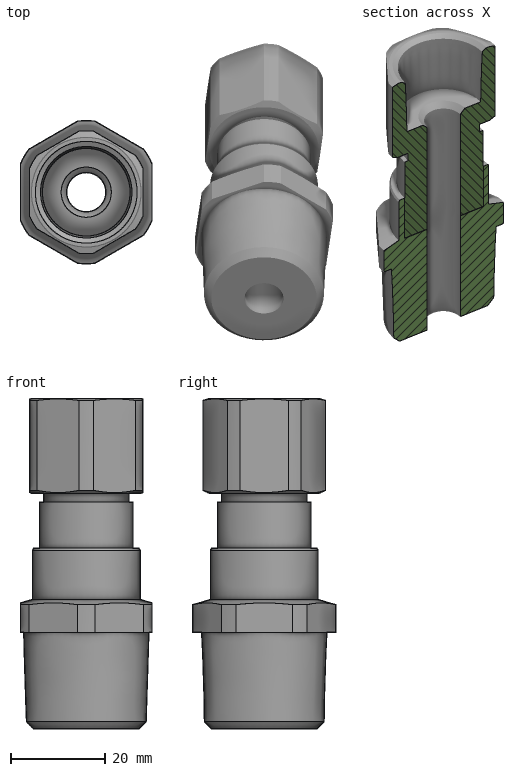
import cadquery as cq
import math

TAPER_TOP_Z = 20.5
COLLAR_BASE_Z = 27.55
COLLAR_TOP_Z = 38.4
SHANK_TOP_Z = 48.2
HEAD_BASE_Z = 50.1
TOTAL_HEIGHT = 70.25

THREAD_TAPER = 1 / 16
PIPE_TOP_DIAMETER = 26.7
PIPE_CHAMFER_HEIGHT = 1.55
BODY_HEX_FLATS = 28.0
BODY_HEX_CORNERS = 30.5
BODY_HEX_EDGE_Z = 26.4
COLLAR_DIAMETER = 23.0
COLLAR_CHAMFER_HEIGHT = 0.5
COLLAR_CHAMFER_WIDTH = 0.3
BORE_DIAMETER = 8.3

SHANK_DIAMETER = 19.95
SHANK_BOTTOM_Z = COLLAR_BASE_Z
NECK_DIAMETER = 18.2
HEAD_HEX_FLATS = 24.0
HEAD_HEX_CORNERS = 26.1
HEAD_FACE_DIAMETER = 23.3
HEAD_TOP_CHAMFER = 0.4
HEAD_BOTTOM_CHAMFER = 0.6
SOCKET_MOUTH_DIAMETER = 21.65
SOCKET_DIAMETER = 19.45
SOCKET_MOUTH_DEPTH = 0.7
SOCKET_DEPTH = 14.05
BORE_MOUTH_DIAMETER = 10.7


def revolve_profile(points):
    """Turn (radius, height) points about the Z axis; the profile closes along the axis."""
    first_z = points[0][1]
    last_z = points[-1][1]
    outline = [(0, first_z), *points, (0, last_z)]
    return cq.Workplane("XZ").polyline(outline).close().revolve(360, (0, 0), (0, 1))


def hexagon(flats, bottom_z, top_z):
    """Hexagonal prism with two flats facing -X and +X."""
    sharp_corners = flats / math.cos(math.pi / 6)
    prism = cq.Workplane("XY").polygon(6, sharp_corners).extrude(top_z - bottom_z)
    return prism.rotate((0, 0, 0), (0, 0, 1), 30).translate((0, 0, bottom_z))


def cylinder(diameter, bottom_z, top_z):
    return cq.Workplane("XY", origin=(0, 0, bottom_z)).circle(diameter / 2).extrude(top_z - bottom_z)


def make_body():
    pipe_top_radius = PIPE_TOP_DIAMETER / 2
    pipe_low_radius = pipe_top_radius - (TAPER_TOP_Z - PIPE_CHAMFER_HEIGHT) * THREAD_TAPER / 2
    pipe = revolve_profile([
        (pipe_low_radius - PIPE_CHAMFER_HEIGHT, 0),
        (pipe_low_radius, PIPE_CHAMFER_HEIGHT),
        (pipe_top_radius, TAPER_TOP_Z),
    ])

    hex_envelope = revolve_profile([
        (BODY_HEX_CORNERS / 2, TAPER_TOP_Z),
        (BODY_HEX_CORNERS / 2, BODY_HEX_EDGE_Z),
        (COLLAR_DIAMETER / 2, COLLAR_BASE_Z),
    ])
    hex_flange = hexagon(BODY_HEX_FLATS, TAPER_TOP_Z, COLLAR_BASE_Z).intersect(hex_envelope)

    collar = revolve_profile([
        (COLLAR_DIAMETER / 2, COLLAR_BASE_Z),
        (COLLAR_DIAMETER / 2, COLLAR_TOP_Z - COLLAR_CHAMFER_HEIGHT),
        (COLLAR_DIAMETER / 2 - COLLAR_CHAMFER_WIDTH, COLLAR_TOP_Z),
    ])

    bore = cylinder(BORE_DIAMETER, 0, SHANK_BOTTOM_Z)
    recess = cylinder(SHANK_DIAMETER, SHANK_BOTTOM_Z, COLLAR_TOP_Z)
    return pipe.union(hex_flange).union(collar).cut(bore).cut(recess)


def make_adapter():
    shank = cylinder(SHANK_DIAMETER, SHANK_BOTTOM_Z, SHANK_TOP_Z)
    neck = cylinder(NECK_DIAMETER, SHANK_TOP_Z, HEAD_BASE_Z)

    head_envelope = revolve_profile([
        (HEAD_FACE_DIAMETER / 2, HEAD_BASE_Z),
        (HEAD_HEX_CORNERS / 2, HEAD_BASE_Z + HEAD_BOTTOM_CHAMFER),
        (HEAD_HEX_CORNERS / 2, TOTAL_HEIGHT - HEAD_TOP_CHAMFER),
        (HEAD_FACE_DIAMETER / 2, TOTAL_HEIGHT),
    ])
    head = hexagon(HEAD_HEX_FLATS, HEAD_BASE_Z, TOTAL_HEIGHT).intersect(head_envelope)

    socket_floor_z = TOTAL_HEIGHT - SOCKET_DEPTH
    socket_narrowing = (SOCKET_DEPTH - SOCKET_MOUTH_DEPTH) * THREAD_TAPER / 2
    bore_mouth_depth = (BORE_MOUTH_DIAMETER - BORE_DIAMETER) / 2
    cavity = revolve_profile([
        (BORE_DIAMETER / 2, SHANK_BOTTOM_Z),
        (BORE_DIAMETER / 2, socket_floor_z - bore_mouth_depth),
        (BORE_MOUTH_DIAMETER / 2, socket_floor_z),
        (SOCKET_DIAMETER / 2 - socket_narrowing, socket_floor_z),
        (SOCKET_DIAMETER / 2, TOTAL_HEIGHT - SOCKET_MOUTH_DEPTH),
        (SOCKET_MOUTH_DIAMETER / 2, TOTAL_HEIGHT),
    ])
    return shank.union(neck).union(head).cut(cavity)


body = make_body()
adapter = make_adapter()
result = cq.Compound.makeCompound([body.val(), adapter.val()])